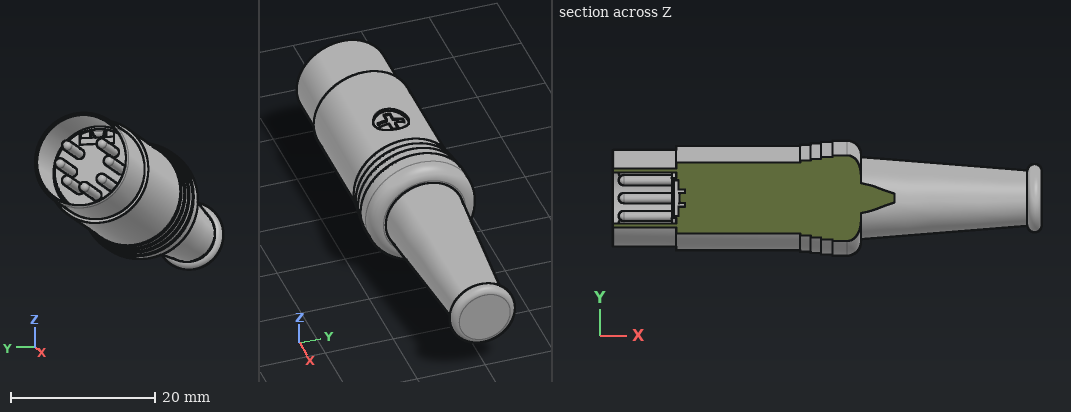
import cadquery as cq
import math

TOTAL_LENGTH = 59.5
OVERLAP = 0.3

SHELL_RADIUS = 6.7
SHELL_BORE_RADIUS = 6.35
SHELL_LENGTH = 8.8
MOUTH_ROUNDING = 0.2

INSERT_RADIUS = 6.0
INSERT_HEIGHT = 0.6
INSERT_FACE_X = SHELL_LENGTH - INSERT_HEIGHT

PIN_RADIUS = 0.7
PIN_CIRCLE_RADIUS = 3.5
PIN_PLACES = 8
PIN_TIP_X = 0.85

KEYWAY_WIDTH = 4.95
KEYWAY_BOTTOM_Z = 3.8
KEYWAY_STEP_Z = 4.75
LEDGE_DEPTH = 0.3
KEYWAY_DEPTH = 0.9
CHANNEL_WIDTH = 2.4
CHANNEL_DEPTH = 1.8

TAB_TOP_WIDTH = 2.0
TAB_BOTTOM_WIDTH = 1.1
TAB_BOTTOM_Z = 4.9
TAB_ROUNDING = 0.85

BARREL_RADIUS = 7.25
RING_STARTS = [26.0, 27.4, 28.85, 30.45]
SHOULDER_DIAMETER = 16.0
SHOULDER_RADIUS = SHOULDER_DIAMETER / 2
RING_STEP = (SHOULDER_RADIUS - BARREL_RADIUS) / len(RING_STARTS)
SHOULDER_END_X = 34.45
SHOULDER_ROUNDING = 1.95

BOOT_START_RADIUS = 5.7
BOOT_END_RADIUS = 3.85
BEAD_RADIUS = 4.75
BEAD_WIDTH = 2.0
BEAD_START_X = TOTAL_LENGTH - BEAD_WIDTH
BEAD_FLAT_RADIUS = BEAD_RADIUS - BEAD_WIDTH / 2

SCREW_X = 20.5
SCREW_RADIUS = 2.5
SCREW_DEPTH = 0.35
SCREW_FLOOR_RADIUS = BARREL_RADIUS - SCREW_DEPTH
CROSS_LENGTH = 3.6
CROSS_ARM_WIDTH = 0.9
CROSS_DEPTH = 0.25
CROSS_FLOOR_RADIUS = SCREW_FLOOR_RADIUS - CROSS_DEPTH


def turned_body():
    """Shell, grip and boot as one outline turned about X."""
    half_plane = cq.Plane(origin=(0, 0, 0), xDir=(1, 0, 0), normal=(0, 0, -1))
    arc_middle = SHOULDER_ROUNDING * (1 - math.sqrt(0.5))

    outline = cq.Workplane(half_plane).lineTo(0, SHELL_RADIUS).lineTo(SHELL_LENGTH, SHELL_RADIUS)
    radius = BARREL_RADIUS
    outline = outline.lineTo(SHELL_LENGTH, radius)
    for ring_x in RING_STARTS:
        outline = outline.lineTo(ring_x, radius)
        radius += RING_STEP
        outline = outline.lineTo(ring_x, radius)
    outline = (
        outline.lineTo(SHOULDER_END_X - SHOULDER_ROUNDING, SHOULDER_RADIUS)
        .threePointArc(
            (SHOULDER_END_X - arc_middle, SHOULDER_RADIUS - arc_middle),
            (SHOULDER_END_X, SHOULDER_RADIUS - SHOULDER_ROUNDING),
        )
        .lineTo(SHOULDER_END_X, BOOT_START_RADIUS)
        .lineTo(BEAD_START_X, BOOT_END_RADIUS)
        .lineTo(BEAD_START_X, BEAD_FLAT_RADIUS)
        .threePointArc(
            (BEAD_START_X + BEAD_WIDTH / 2, BEAD_RADIUS),
            (TOTAL_LENGTH, BEAD_FLAT_RADIUS),
        )
        .lineTo(TOTAL_LENGTH, 0)
        .close()
    )
    body = outline.revolve(360, (0, 0), (1, 0))
    return body.faces("<X").edges().fillet(MOUTH_ROUNDING)


def disc(start_x, end_x, radius):
    """Cylinder on the X axis."""
    return cq.Workplane("YZ", origin=(start_x, 0, 0)).circle(radius).extrude(end_x - start_x)


def pins():
    """Round-ended pins on a circle, leaving out the place at the top."""
    shank_start_x = PIN_TIP_X + PIN_RADIUS
    shank_length = INSERT_FACE_X + OVERLAP - shank_start_x
    top_place = PIN_PLACES // 4
    centres = []
    for place in range(PIN_PLACES):
        if place != top_place:
            angle = 2 * math.pi * place / PIN_PLACES
            centres.append((PIN_CIRCLE_RADIUS * math.cos(angle), PIN_CIRCLE_RADIUS * math.sin(angle)))
    shank_starts = cq.Workplane("YZ", origin=(shank_start_x, 0, 0)).pushPoints(centres)
    shanks = shank_starts.circle(PIN_RADIUS).extrude(shank_length)
    tips = shank_starts.sphere(PIN_RADIUS)
    return shanks.union(tips)


def keyway_box(width, bottom_z, depth):
    """Pocket from the insert face, kept inside the rim of the insert."""
    box = cq.Workplane("XY").box(depth, width, INSERT_RADIUS - bottom_z, centered=(False, True, False))
    rim = disc(INSERT_FACE_X, INSERT_FACE_X + depth, INSERT_RADIUS)
    return box.translate((INSERT_FACE_X, 0, bottom_z)).intersect(rim)


def keyway():
    """Shallow ledge, deeper pocket behind it and a central channel."""
    ledge = keyway_box(KEYWAY_WIDTH, KEYWAY_BOTTOM_Z, LEDGE_DEPTH)
    pocket = keyway_box(KEYWAY_WIDTH, KEYWAY_STEP_Z, KEYWAY_DEPTH)
    channel = keyway_box(CHANNEL_WIDTH, KEYWAY_STEP_Z, CHANNEL_DEPTH)
    return ledge.union(pocket).union(channel)


def latch_tab():
    """Tapered tab from the roof of the channel, with its lower front edge rounded."""
    tab_front_x = INSERT_FACE_X + KEYWAY_DEPTH
    return (
        cq.Workplane("YZ", origin=(tab_front_x, 0, 0))
        .moveTo(-TAB_TOP_WIDTH / 2, INSERT_RADIUS)
        .lineTo(-TAB_BOTTOM_WIDTH / 2, TAB_BOTTOM_Z)
        .lineTo(TAB_BOTTOM_WIDTH / 2, TAB_BOTTOM_Z)
        .lineTo(TAB_TOP_WIDTH / 2, INSERT_RADIUS)
        .close()
        .extrude(CHANNEL_DEPTH - KEYWAY_DEPTH + OVERLAP)
        .faces("<X")
        .edges("<Z")
        .fillet(TAB_ROUNDING)
    )


def screw_recess():
    """Round recess with a cross slot, both with floors that follow the barrel's curve."""
    upright = cq.Workplane("XY", origin=(SCREW_X, 0, 0))
    start_x = SCREW_X - SCREW_RADIUS - OVERLAP
    end_x = SCREW_X + SCREW_RADIUS + OVERLAP

    recess = upright.circle(SCREW_RADIUS).extrude(BARREL_RADIUS)
    recess = recess.cut(disc(start_x, end_x, SCREW_FLOOR_RADIUS))

    along = upright.rect(CROSS_LENGTH, CROSS_ARM_WIDTH).extrude(BARREL_RADIUS)
    across = upright.rect(CROSS_ARM_WIDTH, CROSS_LENGTH).extrude(BARREL_RADIUS)
    cross = along.union(across).cut(disc(start_x, end_x, CROSS_FLOOR_RADIUS))
    return recess.union(cross)


result = (
    turned_body()
    .cut(disc(0, SHELL_LENGTH, SHELL_BORE_RADIUS))
    .union(disc(INSERT_FACE_X, SHELL_LENGTH + OVERLAP, INSERT_RADIUS))
    .union(pins())
    .cut(keyway())
    .union(latch_tab())
    .cut(screw_recess())
)